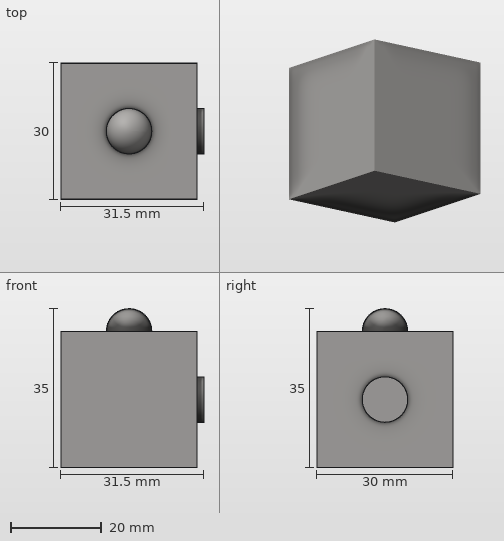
import cadquery as cq

total_height = 35.0
dome_share = 7

dome_radius = total_height / dome_share
cube_side = total_height - dome_radius
disc_radius = dome_radius
disc_thickness = 1.5

cube = cq.Workplane("XY").box(cube_side, cube_side, cube_side, centered=(True, True, False))

dome = cq.Workplane("XY").sphere(dome_radius).translate((0, 0, cube_side))

disc = (
    cq.Workplane("YZ", origin=(cube_side / 2, 0, cube_side / 2))
    .circle(disc_radius)
    .extrude(disc_thickness)
)

result = cube.union(dome).union(disc)